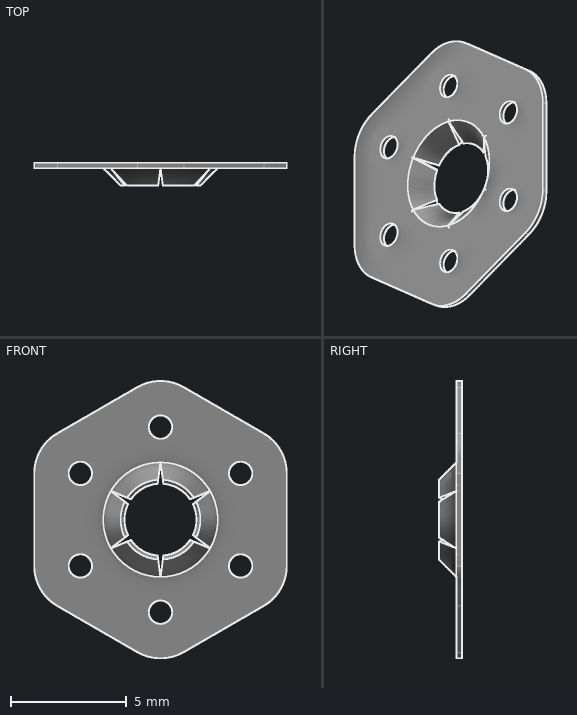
import cadquery as cq
import math

corner_count = 6
corner_circle_radius = 4.0
corner_radius = 2.0
hole_diameter = 1.0
sheet_thickness = 0.25
overall_depth = 1.0
opening_diameter = 3.1
collar_angle = math.radians(45)
slot_tip_width = 0.19

corner_step = 360 / corner_count
collar_height = overall_depth - sheet_thickness
tip_inner_radius = opening_diameter / 2
tip_outer_radius = tip_inner_radius + sheet_thickness * math.sin(collar_angle)
collar_base_radius = tip_outer_radius + collar_height / math.tan(collar_angle)
tip_inner_y = -collar_height + sheet_thickness * math.cos(collar_angle)
collar_back_radius = tip_inner_radius + (sheet_thickness - tip_inner_y) / math.tan(collar_angle)


def make_plate():
    """Hexagonal sheet with one corner on +Z and rounded corners."""
    hexagon_radius = corner_circle_radius + corner_radius / math.cos(math.pi / corner_count)
    return (
        cq.Workplane("XZ")
        .polygon(corner_count, 2 * hexagon_radius)
        .extrude(-sheet_thickness)
        .rotate((0, 0, 0), (0, 1, 0), corner_step / 2)
        .edges("|Y")
        .fillet(corner_radius)
    )


def cut_corner_holes(body):
    """Through holes concentric with the rounded corners."""
    holes = (
        cq.Workplane("XZ")
        .polarArray(corner_circle_radius, corner_step / 2, 360, corner_count)
        .circle(hole_diameter / 2)
        .extrude(-sheet_thickness)
    )
    return body.cut(holes)


def add_collar(body):
    """Conical wall of sheet thickness, with its end cut square to the wall."""
    opening = cq.Workplane("XZ").circle(collar_base_radius).extrude(-sheet_thickness)
    profile = [
        (collar_base_radius, sheet_thickness),
        (collar_base_radius, 0),
        (tip_outer_radius, -collar_height),
        (tip_inner_radius, tip_inner_y),
        (collar_back_radius, sheet_thickness),
    ]
    collar = cq.Workplane("XY").polyline(profile).close().revolve(360, (0, 0), (0, 1))
    return body.cut(opening).union(collar)


def cut_slots(body):
    """V slots that split the collar into fingers and narrow to a point at its base."""
    half_width_per_length = slot_tip_width / 2 / (collar_base_radius - tip_outer_radius)
    slot_start_radius = tip_inner_radius / 2
    start_half_width = half_width_per_length * (collar_base_radius - slot_start_radius)
    slot = (
        cq.Workplane("XZ", origin=(0, sheet_thickness, 0))
        .polyline([
            (-start_half_width, slot_start_radius),
            (start_half_width, slot_start_radius),
            (0, collar_base_radius),
        ])
        .close()
        .extrude(overall_depth)
    )
    for index in range(corner_count):
        body = body.cut(slot.rotate((0, 0, 0), (0, 1, 0), index * corner_step))
    return body


result = make_plate()
result = cut_corner_holes(result)
result = add_collar(result)
result = cut_slots(result)